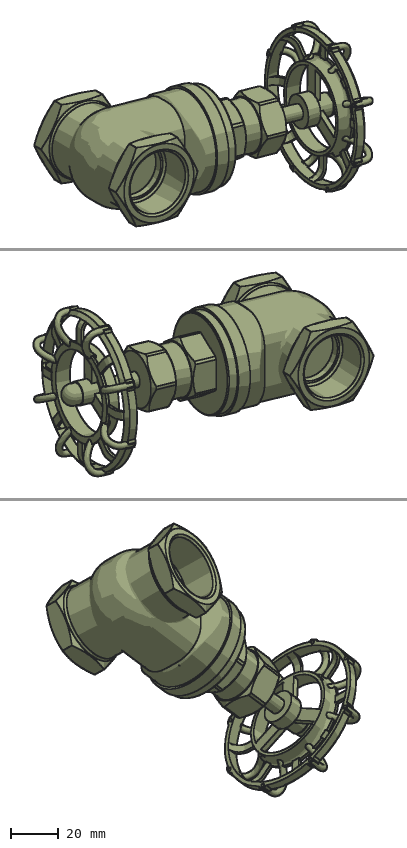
import cadquery as cq
import math


chamber_width = 32.5
chamber_depth = 42.1
chamber_corner = 13.13
bottom_round = 40.0 / 2
bottom_flat = chamber_depth - 2 * bottom_round
bottom_centre_y = 1.1
bottom_y = bottom_centre_y - bottom_round
neck_top_y = 24.1
collar_radius = 45.0 / 2
collar_top_y = 35.7
flare_blend = 0.7

port_end_x = 32.6
port_radius = 34.0 / 2
port_blend = 1.3
hex_flats = 36.0
hex_corner_radius = 41.5 / 2
hex_face_radius = 35.3 / 2
hex_width = 8.5
hex_chamfer = 1.6
hex_root_width = 1.2

bore_radius = 28.0 / 2
bore_mouth_radius = 30.0 / 2
bore_mouth_depth = 1.0
bore_depth = 15.5
shoulder_radius = 25.8 / 2
shoulder_depth = 16.4
seat_radius = 24.0 / 2
seat_depth = 20.2

ring_radius = 47.0 / 2
ring_top_y = 41.5
flange_radius = 45.0 / 2
flange_top_y = 46.0
flange_chamfer = 0.5
nut_flats = 25.8
nut_corner_radius = 29.1 / 2
lower_nut_top_y = 57.6
bonnet_neck_radius = 24.0 / 2
gland_nut_bottom_y = 65.5
gland_nut_top_y = 78.0
gland_nut_turn = 4
nut_chamfer = 1.3
nut_face_radius = 24.9 / 2

stem_radius = 7.0 / 2
hub_radius = 15.0 / 2
hub_bottom_y = 92.5
wheel_bottom_y = 98.7
post_radius = 5.3
post_top_y = 106.9
dome_radius = 9.5 / 2
dome_top_y = 113.9
dome_centre_y = dome_top_y - dome_radius

rim_radius = 70 / 2
rim_inner_radius = 66 / 2
rim_edge_y = 102.3
rim_top_y = 104.0
inner_ring_radius = 20.5
inner_ring_bore = 18.8
inner_ring_flare_y = 102.7
inner_ring_flare = 1.8
inner_ring_top_y = 105.8

arm_count = 3
arm_width = 5.9
arm_height = 2.7

spoke_count = 8
spoke_pitch = 360 / spoke_count
wheel_turn = -1.2
spoke_width = 3.8
spoke_top_y = 105.7
spoke_thickness = 1.3
spoke_bend = 5.4

grip_radius = 1.5
grip_foot = (34.7, 99.9)
grip_shoulder = (33.4, 107.5)
grip_crest = (29.2, 109.0)
grip_slope = (22.3, 106.1)
grip_end = (19.3, 103.0)

lug_root_radius = 34.6
lug_tip_radius = 36.0
lug_root_width = 5.4
lug_tip_width = 2.7

select_margin = 0.1


def turned_about_y(points):
    """Solid of revolution about Y from (radius, y) points."""
    return cq.Workplane("XY").polyline(points).close().revolve(360, (0, 0), (0, 1))


def turned_about_x(points):
    """Solid of revolution about X from (x, radius) points."""
    return cq.Workplane("XY").polyline(points).close().revolve(360, (0, 0), (1, 0))


def hexagon(plane, offset, flats, length):
    """Hexagonal prism; one corner points along the plane's local x."""
    corners = flats / math.cos(math.pi / 6)
    return cq.Workplane(plane).workplane(offset=offset).polygon(6, corners).extrude(length)


def make_chamber():
    """Valve chamber: flat-sided along X, closed by a round bottom on -Y."""
    half_depth = chamber_depth / 2
    half_flat = bottom_flat / 2
    diagonal = bottom_round * math.sqrt(0.5)
    arc_y = bottom_centre_y - diagonal
    arc_z = half_flat + diagonal
    outline = (
        cq.Workplane("YZ", origin=(-chamber_width / 2, 0, 0))
        .moveTo(neck_top_y, half_depth)
        .lineTo(bottom_centre_y, half_depth)
        .threePointArc((arc_y, arc_z), (bottom_y, half_flat))
        .lineTo(bottom_y, -half_flat)
        .threePointArc((arc_y, -arc_z), (bottom_centre_y, -half_depth))
        .lineTo(neck_top_y, -half_depth)
        .close()
        .extrude(chamber_width)
    )
    return outline.faces("<X or >X").edges("not(>Y)").fillet(chamber_corner)


def make_collar():
    """Neck section flaring outward at 45 degrees, limited by the collar's cylinder."""
    height = collar_top_y - neck_top_y
    flare = (
        cq.Workplane("ZX")
        .workplane(offset=neck_top_y)
        .sketch()
        .rect(chamber_depth, chamber_width)
        .vertices()
        .fillet(chamber_corner)
        .finalize()
        .extrude(height, taper=-45)
    )
    cylinder = cq.Workplane("ZX").workplane(offset=neck_top_y).circle(collar_radius).extrude(height)
    collar = flare.intersect(cylinder)
    reach = collar_radius + select_margin
    flare_edges = cq.selectors.BoxSelector(
        (-reach, neck_top_y + select_margin, -reach),
        (reach, collar_top_y - select_margin, reach),
        boundingbox=True,
    )
    return collar.edges(flare_edges).fillet(flare_blend)


def make_port_hex():
    """Wrench hexagon of the port on the -X side, chamfered on both faces."""
    inner_x = hex_width - port_end_x
    turned = turned_about_x([
        (-port_end_x, 0),
        (-port_end_x, hex_face_radius),
        (hex_chamfer - port_end_x, hex_corner_radius),
        (inner_x - hex_chamfer, hex_corner_radius),
        (inner_x, hex_face_radius),
        (inner_x + hex_root_width, port_radius),
        (inner_x + hex_root_width, 0),
    ])
    prism = hexagon("YZ", -port_end_x, hex_flats, hex_width + hex_root_width)
    return turned.intersect(prism)


def make_bore():
    """Stepped blind bore of the port on the -X side."""
    shoulder_x = shoulder_depth - port_end_x
    seat_x = seat_depth - port_end_x
    return turned_about_x([
        (-port_end_x, 0),
        (-port_end_x, bore_mouth_radius),
        (bore_mouth_depth - port_end_x, bore_radius),
        (bore_depth - port_end_x, bore_radius),
        (shoulder_x, shoulder_radius),
        (shoulder_x, seat_radius),
        (seat_x, seat_radius),
        (seat_x, 0),
    ])


def make_housing():
    """Chamber with two hexagon-ended ports and the collar that carries the bonnet."""
    tube = cq.Workplane("YZ").workplane(offset=-port_end_x).circle(port_radius).extrude(2 * port_end_x)
    body = make_chamber().union(tube)
    half_width = chamber_width / 2 + select_margin
    seam_radius = port_radius + select_margin
    seam = cq.selectors.BoxSelector(
        (-half_width, -seam_radius, -seam_radius),
        (half_width, seam_radius, seam_radius),
        boundingbox=True,
    )
    body = body.edges(seam).fillet(port_blend)
    body = body.union(make_collar())
    port_hex = make_port_hex()
    body = body.union(port_hex).union(port_hex.mirror("YZ"))
    bore = make_bore()
    return body.cut(bore).cut(bore.mirror("YZ"))


def make_bonnet():
    """Flanged bonnet with a lower hexagon, a round neck and a gland nut on top."""
    base = turned_about_y([
        (0, collar_top_y),
        (ring_radius, collar_top_y),
        (ring_radius, ring_top_y),
        (flange_radius, ring_top_y),
        (flange_radius, flange_top_y - flange_chamfer),
        (flange_radius - flange_chamfer, flange_top_y),
        (bonnet_neck_radius, flange_top_y),
        (bonnet_neck_radius, gland_nut_top_y),
        (0, gland_nut_top_y),
    ])
    lower_blank = turned_about_y([
        (0, flange_top_y),
        (nut_corner_radius, flange_top_y),
        (nut_corner_radius, lower_nut_top_y - nut_chamfer),
        (nut_face_radius, lower_nut_top_y),
        (0, lower_nut_top_y),
    ])
    gland_blank = turned_about_y([
        (0, gland_nut_bottom_y),
        (nut_face_radius, gland_nut_bottom_y),
        (nut_corner_radius, gland_nut_bottom_y + nut_chamfer),
        (nut_corner_radius, gland_nut_top_y - nut_chamfer),
        (nut_face_radius, gland_nut_top_y),
        (0, gland_nut_top_y),
    ])
    lower_nut = (
        hexagon("ZX", flange_top_y, nut_flats, lower_nut_top_y - flange_top_y)
        .intersect(lower_blank)
    )
    gland_nut = (
        hexagon("ZX", gland_nut_bottom_y, nut_flats, gland_nut_top_y - gland_nut_bottom_y)
        .rotate((0, 0, 0), (0, 1, 0), 90 + gland_nut_turn)
        .intersect(gland_blank)
    )
    return base.union(lower_nut).union(gland_nut)


def placed(shape, angle):
    """Turn a shape from +X toward +Z about the wheel axis."""
    return shape.rotate((0, 0, 0), (0, 1, 0), -angle)


def make_rim():
    """Outer rim with a top face that slopes up toward the inside."""
    return turned_about_y([
        (rim_inner_radius, wheel_bottom_y),
        (rim_radius, wheel_bottom_y),
        (rim_radius, rim_edge_y),
        (rim_inner_radius, rim_top_y),
    ])


def make_inner_ring():
    """Ring whose outer wall curves outward into a flange that carries the spokes."""
    flange_r = inner_ring_radius + inner_ring_flare
    return (
        cq.Workplane("XY")
        .moveTo(inner_ring_bore, wheel_bottom_y)
        .lineTo(inner_ring_radius, wheel_bottom_y)
        .lineTo(inner_ring_radius, inner_ring_flare_y)
        .radiusArc((flange_r, inner_ring_flare_y + inner_ring_flare), inner_ring_flare)
        .lineTo(flange_r, inner_ring_top_y)
        .lineTo(inner_ring_bore, inner_ring_top_y)
        .close()
        .revolve(360, (0, 0), (0, 1))
    )


def make_spoke():
    """Flat spoke along +X that leaves the inner ring level and bends down to the rim."""
    bend_r = rim_inner_radius - spoke_bend
    underside_y = spoke_top_y - spoke_thickness
    bend_y = underside_y - spoke_bend
    outer_bend = spoke_bend + spoke_thickness
    inner_leg = spoke_bend * math.sqrt(0.5)
    outer_leg = outer_bend * math.sqrt(0.5)
    return (
        cq.Workplane("XY", origin=(0, 0, -spoke_width / 2))
        .moveTo(inner_ring_bore, underside_y)
        .lineTo(bend_r, underside_y)
        .threePointArc((bend_r + inner_leg, bend_y + inner_leg), (rim_inner_radius, bend_y))
        .lineTo(bend_r + outer_bend, bend_y)
        .threePointArc((bend_r + outer_leg, bend_y + outer_leg), (bend_r, spoke_top_y))
        .lineTo(inner_ring_bore, spoke_top_y)
        .close()
        .extrude(spoke_width)
    )


def make_grip():
    """Round bar along +X that arches from a ball end on the rim over to the inner ring."""
    path = cq.Workplane("XY").spline(
        [grip_foot, grip_shoulder, grip_crest, grip_slope, grip_end],
        tangents=[(0, 1), (-1, -1)],
    )
    bar = cq.Workplane("ZX", origin=(*grip_foot, 0)).circle(grip_radius).sweep(path)
    ball = cq.Workplane("XY", origin=(*grip_foot, 0)).sphere(grip_radius)
    return bar.union(ball)


def make_lug():
    """Tapered lug on the rim's outer wall that backs a grip's foot."""
    inner_r = (rim_radius + rim_inner_radius) / 2
    return (
        cq.Workplane("ZX")
        .workplane(offset=wheel_bottom_y)
        .polyline([
            (-lug_root_width / 2, inner_r),
            (-lug_root_width / 2, lug_root_radius),
            (-lug_tip_width / 2, lug_tip_radius),
            (lug_tip_width / 2, lug_tip_radius),
            (lug_root_width / 2, lug_root_radius),
            (lug_root_width / 2, inner_r),
        ])
        .close()
        .extrude(rim_edge_y - wheel_bottom_y)
    )


def make_arm():
    """Flat bar along +X from the wheel axis into the inner ring."""
    length = (inner_ring_bore + inner_ring_radius) / 2
    return (
        cq.Workplane("XY", origin=(0, wheel_bottom_y, 0))
        .box(length, arm_height, arm_width, centered=(False, False, True))
    )


def make_hub():
    """Stem, hub and domed post on the wheel axis."""
    dome = cq.Workplane("XY", origin=(0, dome_centre_y, 0)).sphere(dome_radius)
    return turned_about_y([
        (0, gland_nut_top_y),
        (stem_radius, gland_nut_top_y),
        (stem_radius, hub_bottom_y),
        (hub_radius, hub_bottom_y),
        (hub_radius, wheel_bottom_y),
        (post_radius, wheel_bottom_y),
        (post_radius, post_top_y),
        (dome_radius, post_top_y),
        (dome_radius, dome_centre_y),
        (0, dome_centre_y),
    ]).union(dome)


def make_handwheel():
    """Rim and inner ring joined by spokes and grips, carried on the hub by arms."""
    wheel = make_rim()
    spoke = make_spoke()
    grip = make_grip()
    lug = make_lug()
    for index in range(spoke_count):
        spoke_angle = wheel_turn + index * spoke_pitch
        grip_angle = spoke_angle + spoke_pitch / 2
        wheel = wheel.union(placed(spoke, spoke_angle))
        wheel = wheel.union(placed(lug, grip_angle))
        wheel = wheel.union(placed(grip, grip_angle))
    opening = (
        cq.Workplane("ZX")
        .workplane(offset=wheel_bottom_y)
        .circle(inner_ring_bore)
        .extrude(dome_top_y - wheel_bottom_y)
    )
    wheel = wheel.cut(opening)
    wheel = wheel.union(make_inner_ring())
    arm = make_arm()
    for index in range(arm_count):
        wheel = wheel.union(placed(arm, 90 + wheel_turn + index * 360 / arm_count))
    return wheel.union(make_hub())


housing = make_housing()
bonnet = make_bonnet()
handwheel = make_handwheel()

result = cq.Compound.makeCompound([housing.val(), bonnet.val(), handwheel.val()])